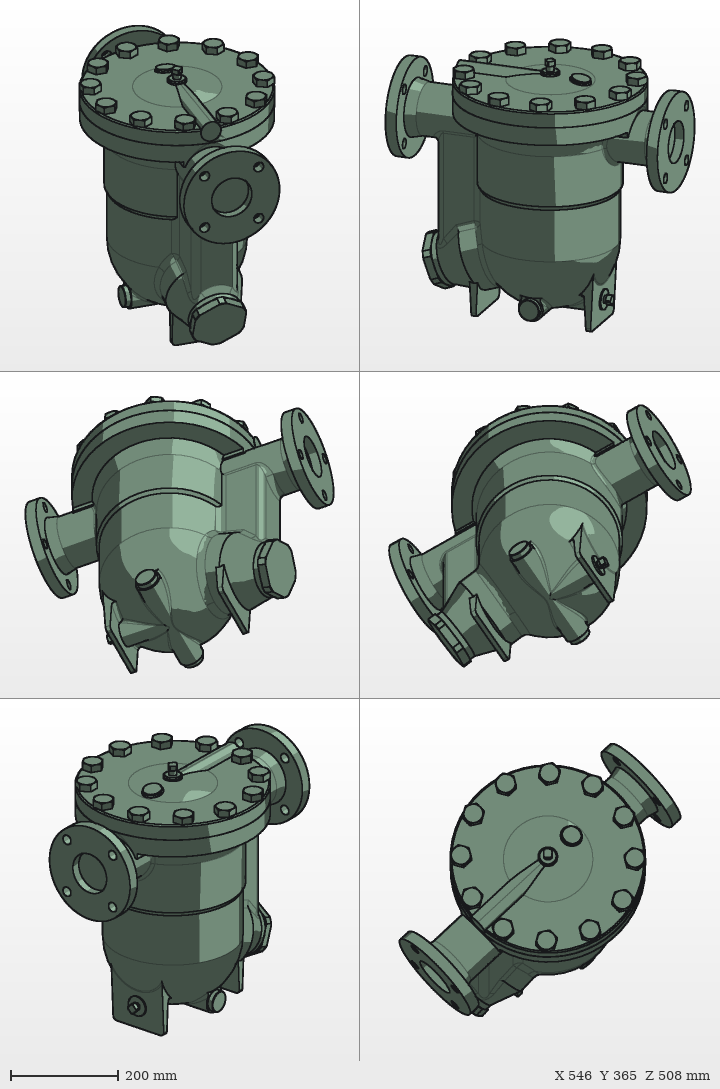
import cadquery as cq
import math


INLET_FACE_X = -252.5
OUTLET_FACE_X = 293.5
PIPE_DIA = 102.0
FLANGE_DIA = 191.0
FLANGE_THICKNESS = 22.0
FLANGE_BOLT_CIRCLE = 152.4
FLANGE_HOLE_DIA = 19.0
HUB_DIA = 113.0
HUB_LENGTH = 22.0
BORE_DIA = 80.0
BORE_DEPTH = 18.0
INLET_FILLET = 8.0

UPPER_RADIUS = 136.5
LOWER_RADIUS = 131.5
NECK_TOP_RADIUS = 144.5
NECK_MID_RADIUS = 139.0
NECK_BOTTOM_Z = -12.5
NECK_MID_Z = 7.0
STEP_TOP_Z = -112.5
STEP_BOTTOM_Z = -121.0
DOME_CENTRE_Z = -223.0

COVER_DIA = 365.0
BODY_FLANGE_DIA = 364.4
COVER_TOP_Z = 91.5
COVER_JOINT_Z = 61.0
BODY_FLANGE_BOTTOM_Z = 26.0
COVER_EDGE_CHAMFER = 3.0
FLANGE_SIDE_TAPER = 5.5
PAD_BOTTOM_Z = 15.5
PAD_WIDTH = 104.0
CROWN_DIA = 167.0
CROWN_RISE = 12.0
RIDGE_RADIUS = 20.0
RIDGE_AXIS_Z = 84.8

BOLT_COUNT = 12
BOLT_CIRCLE_RADIUS = 162.5
BOLT_HEAD_FLATS = 36.0
BOLT_HEAD_HEIGHT = 14.5
BOLT_HEAD_CHAMFER_RISE = 1.5

VENT_SEAT_DIA = 36.0
VENT_SEAT_TOP_Z = 109.0
VENT_SEAT_CHAMFER = 2.5
VENT_HEAD_BOTTOM_Z = 119.5
VENT_TOP_Z = 129.5
PLUG_STEM_DIA = 15.0
SQUARE_HEAD_SIDE = 16.0
SQUARE_HEAD_ROUND_DIA = 20.0
COVER_PLUG_DIA = 36.0
COVER_PLUG_X = -61.0
COVER_PLUG_HEIGHT = 5.5
COVER_PLUG_COLLAR = 2.5
COVER_PLUG_ROOT = 8.0

RIB_HALF_WIDTH = 45.5
RIB_OUTER_X = 211.2
RIB_CORNER_RADIUS = 14.0
RIB_BOTTOM_Z = -285.0
CASTING_FILLET = 18.0
PIPE_RIB_FILLET = 12.0

STRAINER_SLOPE = 20.0
CAP_FACE_X = 228.0
CAP_FACE_Z = -298.0
STRAINER_RADIUS = 75.5
STRAINER_LENGTH = 225.0
SPIGOT_RADIUS = 52.0
CONE_START = -88.5
CONE_END = -28.5
CAP_THICKNESS = 17.0
CAP_FLATS = 102.0
CAP_ROUND_DIA = 111.0
CAP_EDGE_CHAMFER = 1.0

LEFT_LEG_X = -99.5
RIGHT_LEG_X = 130.3
LEG_WIDTH = 120.0
LEG_BOTTOM_Z = -378.5
LEG_TOP_Z = -251.0
RIGHT_LEG_TOP_Z = -291.0
LEG_BOTTOM_HALF = 4.6
LEG_DRAFT = 0.05
LEG_CORNER_RADIUS = 9.0
LEG_FILLET = 6.0

DRAIN_Z = -331.0
DRAIN_RADIUS = 24.5
DRAIN_FILLET = 6.0
SIDE_BOSS_END_Y = 99.0
SIDE_BOSS_CHAMFER = 4.0
SIDE_PLUG_DIA = 41.0
SIDE_PLUG_END_Y = 110.0
SIDE_PLUG_CHAMFER = 1.0
DRAIN_SEAT_DIA = 40.0
DRAIN_SEAT_X = -109.5
DRAIN_HEAD_INNER_X = -114.0
DRAIN_HEAD_X = -124.5


def rod(start, direction, radius, length):
    """Solid cylinder from a start point along a direction."""
    return cq.Workplane(cq.Solid.makeCylinder(radius, length, cq.Vector(*start), cq.Vector(*direction)))


def vessel_body():
    """Turned vessel: flared neck, stepped cylinder and hemispherical bottom."""
    diagonal = LOWER_RADIUS * math.sqrt(0.5)
    return (
        cq.Workplane("XZ")
        .moveTo(0, COVER_JOINT_Z)
        .lineTo(NECK_TOP_RADIUS, COVER_JOINT_Z)
        .lineTo(NECK_TOP_RADIUS, BODY_FLANGE_BOTTOM_Z)
        .threePointArc((NECK_MID_RADIUS, NECK_MID_Z), (UPPER_RADIUS, NECK_BOTTOM_Z))
        .lineTo(UPPER_RADIUS, STEP_TOP_Z)
        .lineTo(LOWER_RADIUS, STEP_BOTTOM_Z)
        .lineTo(LOWER_RADIUS, DOME_CENTRE_Z)
        .threePointArc((diagonal, DOME_CENTRE_Z - diagonal), (0, DOME_CENTRE_Z - LOWER_RADIUS))
        .close()
        .revolve(360, (0, 0, 0), (0, 1, 0))
    )


def body_flange():
    """Bolting flange whose inlet and outlet sides are cut back, with a pad under each of those sides."""
    radius = BODY_FLANGE_DIA / 2
    narrow = radius - FLANGE_SIDE_TAPER
    disc = rod((0, 0, BODY_FLANGE_BOTTOM_Z), (0, 0, 1), radius, COVER_JOINT_Z - BODY_FLANGE_BOTTOM_Z)
    envelope = (
        cq.Workplane("XZ")
        .polyline(
            [
                (-radius, COVER_JOINT_Z),
                (radius, COVER_JOINT_Z),
                (narrow, BODY_FLANGE_BOTTOM_Z),
                (-narrow, BODY_FLANGE_BOTTOM_Z),
            ]
        )
        .close()
        .extrude(radius, both=True)
    )
    pad_height = BODY_FLANGE_BOTTOM_Z - PAD_BOTTOM_Z
    pad = cq.Workplane("XY", origin=(0, 0, PAD_BOTTOM_Z)).rect(2 * narrow, PAD_WIDTH).extrude(pad_height)
    pad = pad.intersect(rod((0, 0, PAD_BOTTOM_Z), (0, 0, 1), radius, pad_height))
    return disc.intersect(envelope).union(pad)


def crown_sphere_radius():
    """Radius of the sphere that gives the cover crown its diameter and rise."""
    return ((CROWN_DIA / 2) ** 2 + CROWN_RISE**2) / (2 * CROWN_RISE)


def cover():
    """Flat cover with a shallow spherical crown and a round ridge running to the outlet side."""
    plate = rod((0, 0, COVER_JOINT_Z), (0, 0, 1), COVER_DIA / 2, COVER_TOP_Z - COVER_JOINT_Z)
    plate = plate.faces(">Z").edges().chamfer(COVER_EDGE_CHAMFER)
    crown = (
        cq.Workplane("XZ")
        .moveTo(0, COVER_TOP_Z)
        .lineTo(CROWN_DIA / 2, COVER_TOP_Z)
        .radiusArc((0, COVER_TOP_Z + CROWN_RISE), -crown_sphere_radius())
        .close()
        .revolve(360, (0, 0, 0), (0, 1, 0))
    )
    ridge = rod((0, 0, RIDGE_AXIS_Z), (1, 0, 0), RIDGE_RADIUS, COVER_DIA / 2)
    return plate.union(crown).union(ridge)


def cover_bolts():
    """Hexagon heads on the cover, each turned with its place on the bolt circle."""
    corner_dia = BOLT_HEAD_FLATS / math.cos(math.pi / 6)
    pitch = 360 / BOLT_COUNT
    rounder = (
        cq.Workplane("XY", origin=(BOLT_CIRCLE_RADIUS, 0, COVER_TOP_Z))
        .circle(corner_dia / 2)
        .extrude(BOLT_HEAD_HEIGHT)
        .faces(">Z")
        .chamfer(BOLT_HEAD_CHAMFER_RISE, (corner_dia - BOLT_HEAD_FLATS) / 2)
    )
    head = (
        cq.Workplane("XY", origin=(BOLT_CIRCLE_RADIUS, 0, COVER_TOP_Z))
        .transformed(rotate=(0, 0, -pitch / 2))
        .polygon(6, corner_dia)
        .extrude(BOLT_HEAD_HEIGHT)
        .intersect(rounder)
    )
    heads = cq.Workplane("XY")
    for i in range(BOLT_COUNT):
        heads = heads.add(head.rotate((0, 0, 0), (0, 0, 1), (i + 0.5) * pitch))
    return heads.combine()


def square_head(length):
    """Square plug head with rounded corners, standing on the XY plane with its corners on X and Y."""
    square = (
        cq.Workplane("XY")
        .transformed(rotate=(0, 0, 45))
        .rect(SQUARE_HEAD_SIDE, SQUARE_HEAD_SIDE)
        .extrude(length)
    )
    return square.intersect(cq.Workplane("XY").circle(SQUARE_HEAD_ROUND_DIA / 2).extrude(length))


def air_vent():
    """Seat, stem and square head on the vessel axis."""
    seat = rod((0, 0, COVER_TOP_Z), (0, 0, 1), VENT_SEAT_DIA / 2, VENT_SEAT_TOP_Z - COVER_TOP_Z)
    seat = seat.faces(">Z").chamfer(VENT_SEAT_CHAMFER)
    stem = rod((0, 0, COVER_TOP_Z), (0, 0, 1), PLUG_STEM_DIA / 2, VENT_HEAD_BOTTOM_Z - COVER_TOP_Z)
    head = square_head(VENT_TOP_Z - VENT_HEAD_BOTTOM_Z).translate((0, 0, VENT_HEAD_BOTTOM_Z))
    return seat.union(stem).union(head)


def cover_plug():
    """Round plug with a sloped collar, standing square to the crown surface."""
    sphere_radius = crown_sphere_radius()
    tilt = math.degrees(math.asin(COVER_PLUG_X / sphere_radius))
    plug_radius = COVER_PLUG_DIA / 2
    collar_radius = plug_radius + COVER_PLUG_COLLAR
    plug = (
        cq.Workplane("XZ")
        .moveTo(0, sphere_radius - COVER_PLUG_ROOT)
        .lineTo(collar_radius, sphere_radius - COVER_PLUG_ROOT)
        .lineTo(collar_radius, sphere_radius)
        .lineTo(plug_radius, sphere_radius + COVER_PLUG_COLLAR)
        .lineTo(plug_radius, sphere_radius + COVER_PLUG_HEIGHT)
        .lineTo(0, sphere_radius + COVER_PLUG_HEIGHT)
        .close()
        .revolve(360, (0, 0, 0), (0, 1, 0))
    )
    crown_centre_z = COVER_TOP_Z + CROWN_RISE - sphere_radius
    return plug.rotate((0, 0, 0), (0, 1, 0), tilt).translate((0, 0, crown_centre_z))


def pipe_end(face_x):
    """Pipe, conical hub and bolted flange from the vessel axis to one connection face."""
    outward = math.copysign(1, face_x)
    back_x = face_x - outward * FLANGE_THICKNESS
    hub_x = back_x - outward * HUB_LENGTH
    profile = [
        (0, 0),
        (0, PIPE_DIA / 2),
        (hub_x, PIPE_DIA / 2),
        (back_x, HUB_DIA / 2),
        (back_x, FLANGE_DIA / 2),
        (face_x, FLANGE_DIA / 2),
        (face_x, 0),
    ]
    return cq.Workplane("XZ").polyline(profile).close().revolve(360, (0, 0, 0), (1, 0, 0))


def pipe_openings(face_x):
    """Bore recess and four bolt holes of one connection flange."""
    outward = math.copysign(1, face_x)
    inward = (-outward, 0, 0)
    openings = rod((face_x, 0, 0), inward, BORE_DIA / 2, BORE_DEPTH)
    offset = FLANGE_BOLT_CIRCLE / 2 * math.sqrt(0.5)
    for y in (-offset, offset):
        for z in (-offset, offset):
            openings = openings.union(rod((face_x, y, z), inward, FLANGE_HOLE_DIA / 2, FLANGE_THICKNESS))
    return openings


def passage_rib():
    """Vertical passage between the strainer and the outlet pipe, its outer corners rounded."""
    return (
        cq.Workplane("XY", origin=(0, 0, RIB_BOTTOM_Z))
        .moveTo(RIB_OUTER_X / 2, 0)
        .rect(RIB_OUTER_X, 2 * RIB_HALF_WIDTH)
        .extrude(-RIB_BOTTOM_Z)
        .edges("|Z and >X")
        .fillet(RIB_CORNER_RADIUS)
    )


def strainer_plane():
    """Plane at the cap face, its normal pointing outward along the inclined strainer axis."""
    slope = math.radians(STRAINER_SLOPE)
    return cq.Plane(
        origin=(CAP_FACE_X, 0, CAP_FACE_Z),
        xDir=(0, 1, 0),
        normal=(math.cos(slope), 0, -math.sin(slope)),
    )


def strainer_boss():
    """Inclined cylinder that narrows to a cone, running from inside the vessel to under the cap."""
    plane = strainer_plane()
    section = cq.Plane(plane.origin.toTuple(), plane.xDir.toTuple(), plane.xDir.cross(plane.zDir).toTuple())
    taper = (STRAINER_RADIUS - SPIGOT_RADIUS) / (CONE_END - CONE_START)
    tip_radius = SPIGOT_RADIUS - taper * (-CAP_THICKNESS - CONE_END)
    return (
        cq.Workplane(section)
        .moveTo(0, -STRAINER_LENGTH)
        .lineTo(STRAINER_RADIUS, -STRAINER_LENGTH)
        .lineTo(STRAINER_RADIUS, CONE_START)
        .lineTo(tip_radius, -CAP_THICKNESS)
        .lineTo(0, -CAP_THICKNESS)
        .close()
        .revolve(360, (0, 0, 0), (0, 1, 0))
    )


def strainer_spigot():
    """Short cylinder between the cone and the cap."""
    return (
        cq.Workplane(strainer_plane())
        .workplane(offset=CONE_END)
        .circle(SPIGOT_RADIUS)
        .extrude(-CONE_END - CAP_THICKNESS)
    )


def strainer_cap():
    """Hexagon cap with one flat facing each side (-Y and +Y) and its corners turned round."""
    plane = strainer_plane()
    hexagon = (
        cq.Workplane(plane)
        .transformed(rotate=(0, 0, 90))
        .polygon(6, CAP_FLATS / math.cos(math.pi / 6))
        .extrude(-CAP_THICKNESS)
    )
    rounder = cq.Workplane(plane).circle(CAP_ROUND_DIA / 2).extrude(-CAP_THICKNESS)
    return hexagon.intersect(rounder.faces(">X").chamfer(CAP_EDGE_CHAMFER))


def leg(centre_x, top_z):
    """Tapered foot plate with rounded lower corners."""
    top_half = LEG_BOTTOM_HALF + LEG_DRAFT * (top_z - LEG_BOTTOM_Z)
    profile = [
        (centre_x - LEG_BOTTOM_HALF, LEG_BOTTOM_Z),
        (centre_x + LEG_BOTTOM_HALF, LEG_BOTTOM_Z),
        (centre_x + top_half, top_z),
        (centre_x - top_half, top_z),
    ]
    plate = cq.Workplane("XZ").polyline(profile).close().extrude(LEG_WIDTH / 2, both=True)
    outline = (
        cq.Workplane("YZ")
        .rect(LEG_WIDTH, 2 * (top_z - LEG_BOTTOM_Z))
        .extrude(2 * top_half)
        .edges("|X")
        .fillet(LEG_CORNER_RADIUS)
        .translate((centre_x - top_half, 0, top_z))
    )
    return plate.intersect(outline)


def side_drains():
    """Cross boss through the bottom with a plug on its -Y and +Y ends."""
    boss = rod((0, -SIDE_BOSS_END_Y, DRAIN_Z), (0, 1, 0), DRAIN_RADIUS, 2 * SIDE_BOSS_END_Y)
    boss = boss.faces("<Y or >Y").edges().chamfer(SIDE_BOSS_CHAMFER)
    plugs = rod((0, -SIDE_PLUG_END_Y, DRAIN_Z), (0, 1, 0), SIDE_PLUG_DIA / 2, 2 * SIDE_PLUG_END_Y)
    return boss.union(plugs.faces("<Y or >Y").edges().chamfer(SIDE_PLUG_CHAMFER))


def leg_drain():
    """Boss from the vessel bottom to the inlet-side leg, with a seat and square plug head outside it."""
    boss = rod((0, 0, DRAIN_Z), (-1, 0, 0), DRAIN_RADIUS, -LEFT_LEG_X)
    seat = rod((LEFT_LEG_X, 0, DRAIN_Z), (-1, 0, 0), DRAIN_SEAT_DIA / 2, LEFT_LEG_X - DRAIN_SEAT_X)
    stem = rod((LEFT_LEG_X, 0, DRAIN_Z), (-1, 0, 0), PLUG_STEM_DIA / 2, LEFT_LEG_X - DRAIN_HEAD_INNER_X)
    head = (
        square_head(DRAIN_HEAD_INNER_X - DRAIN_HEAD_X)
        .rotate((0, 0, 0), (0, 1, 0), -90)
        .translate((DRAIN_HEAD_INNER_X, 0, DRAIN_Z))
    )
    return boss.union(seat).union(stem).union(head)


def lower_vessel():
    """Plain lower cylinder and hemisphere, up to the pipe axis."""
    cylinder = rod((0, 0, DOME_CENTRE_Z), (0, 0, 1), LOWER_RADIUS, -DOME_CENTRE_Z)
    return cylinder.union(cq.Workplane("XY", origin=(0, 0, DOME_CENTRE_Z)).sphere(LOWER_RADIUS))


def blended_casting():
    """Lower vessel, passage rib and strainer boss with rounded inside corners."""
    casting = lower_vessel().union(passage_rib()).union(strainer_boss())
    joints = casting.edges("%BSPLINE or %ELLIPSE")
    for side in (-1, 1):
        rib_side = cq.selectors.BoxSelector(
            (0, side * RIB_HALF_WIDTH - 1, RIB_BOTTOM_Z),
            (RIB_OUTER_X - RIB_CORNER_RADIUS - 1, side * RIB_HALF_WIDTH + 1, -1),
        )
        joints = joints.add(casting.edges(rib_side))
    return joints.fillet(CASTING_FILLET)


def blended_outlet():
    """Outlet pipe and passage rib, blended around the rounded outer end of the rib."""
    pipe = rod((0, 0, 0), (1, 0, 0), PIPE_DIA / 2, OUTLET_FACE_X - FLANGE_THICKNESS)
    return pipe.union(passage_rib()).edges("%BSPLINE").fillet(PIPE_RIB_FILLET)


def blended_inlet():
    """Turned vessel with the inlet pipe, rounded where the pipe enters the vessel wall."""
    return vessel_body().union(pipe_end(INLET_FACE_X)).edges("%BSPLINE").fillet(INLET_FILLET)


def blended_leg():
    """Lower vessel with the inlet-side leg, its two broad faces blended into the hemisphere."""
    vessel = lower_vessel().union(leg(LEFT_LEG_X, LEG_TOP_Z))
    broad_faces = cq.selectors.BoxSelector((-LOWER_RADIUS, -1, DRAIN_Z), (0, 1, LEG_TOP_Z))
    return vessel.edges("%CIRCLE").edges(broad_faces).fillet(LEG_FILLET)


def blended_drain(start, direction, length):
    """Lower vessel with one drain boss, rounded where the boss leaves the hemisphere."""
    boss = rod(start, direction, DRAIN_RADIUS, length)
    return lower_vessel().union(boss).edges("%BSPLINE").fillet(DRAIN_FILLET)


def build_part():
    """Join the castings, fittings and flanges, then cut the flange openings."""
    part = blended_inlet().union(blended_casting()).union(strainer_spigot())
    part = part.union(blended_outlet()).union(blended_leg())
    part = part.union(leg(RIGHT_LEG_X, RIGHT_LEG_TOP_Z))
    part = part.union(blended_drain((0, -SIDE_BOSS_END_Y, DRAIN_Z), (0, 1, 0), 2 * SIDE_BOSS_END_Y))
    part = part.union(blended_drain((0, 0, DRAIN_Z), (-1, 0, 0), -LEFT_LEG_X))
    part = part.union(side_drains()).union(leg_drain())
    part = part.union(pipe_end(OUTLET_FACE_X))
    part = part.union(body_flange()).union(cover())
    part = part.union(cover_bolts()).union(air_vent()).union(cover_plug())
    part = part.union(strainer_cap())
    return part.cut(pipe_openings(INLET_FACE_X)).cut(pipe_openings(OUTLET_FACE_X))


result = build_part()